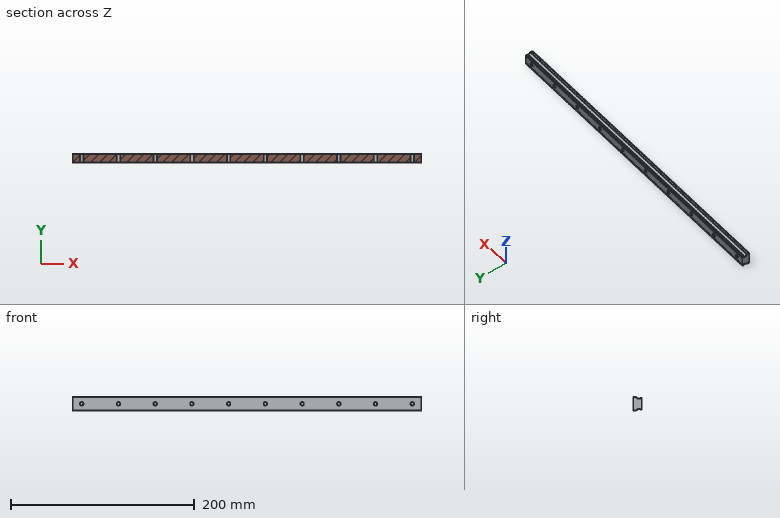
import math

import cadquery as cq

length = 380.0
height = 9.5
base_width = 15.0
base_chamfer = 0.5

head_chamfer = 0.4
head_width = 12.9
head_flank_height = 8.2
groove_radius = 1.4
groove_centre_height = 6.95

waist_width = 11.7
flare_start_height = 5.75
flare_radius = 2.5
flare_angle = 45.0

hole_diameter = 3.5
hole_count = 10
hole_pitch = 40.0

half_base = base_width / 2
half_head = head_width / 2
half_waist = waist_width / 2


def flare_point(angle):
    """Point (height, half width) on the flare arc where its tangent is tilted by the given angle."""
    tilt = math.radians(angle)
    return (
        flare_start_height - flare_radius * math.sin(tilt),
        half_waist + flare_radius * (1 - math.cos(tilt)),
    )


def groove_points():
    """Lip on the waist, floor and head edge of the groove arc, as (height, half width) points."""
    head_offset = head_flank_height - groove_centre_height
    centre_width = half_head + math.sqrt(groove_radius**2 - head_offset**2)
    lip_offset = math.sqrt(groove_radius**2 - (centre_width - half_waist) ** 2)
    lip = (groove_centre_height - lip_offset, half_waist)
    floor = (groove_centre_height, centre_width - groove_radius)
    head_edge = (head_flank_height, half_head)
    return lip, floor, head_edge


def half_rail():
    """Upper half of the section (z >= 0) extruded along X, mounting face on y = 0."""
    groove_lip, groove_floor, head_edge = groove_points()
    flare_end = flare_point(flare_angle)
    slope_rise = half_base - flare_end[1]
    base_flank_height = flare_end[0] - slope_rise / math.tan(math.radians(flare_angle))
    return (
        cq.Workplane("YZ")
        .moveTo(0, 0)
        .lineTo(0, half_base - base_chamfer)
        .lineTo(base_chamfer, half_base)
        .lineTo(base_flank_height, half_base)
        .lineTo(*flare_end)
        .threePointArc(flare_point(flare_angle / 2), flare_point(0))
        .lineTo(*groove_lip)
        .threePointArc(groove_floor, head_edge)
        .lineTo(height - head_chamfer, half_head)
        .lineTo(height, half_head - head_chamfer)
        .lineTo(height, 0)
        .close()
        .extrude(length / 2, both=True)
    )


def rail_body():
    """Both mirrored halves of the rail, centred on the origin."""
    upper = half_rail()
    return upper.union(upper.mirror("XY")).clean().translate((0, -height / 2, 0))


def mounting_holes():
    """Row of cylinders along X that pass through the full height of the rail."""
    return (
        cq.Workplane("XZ")
        .rarray(hole_pitch, 1, hole_count, 1)
        .circle(hole_diameter / 2)
        .extrude(height, both=True)
    )


result = rail_body().cut(mounting_holes())